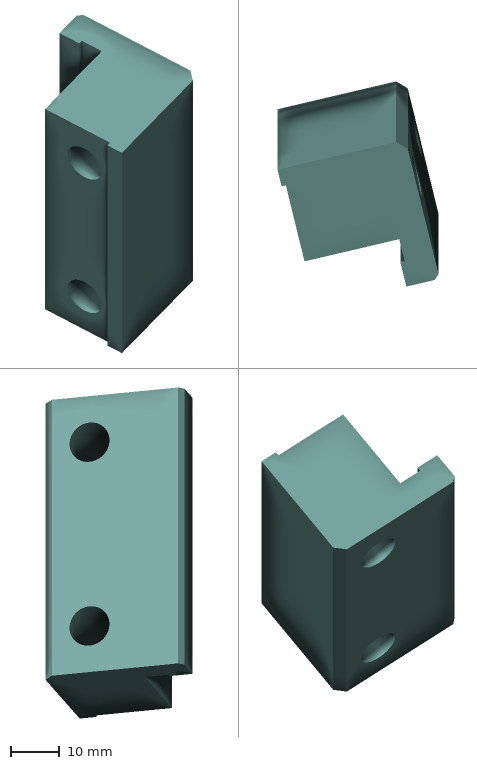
import cadquery as cq

width = 30.0
depth = 27.0
height = 60.0

flange_thickness = 7.0
flange_overhang = 10.0
flange_lip_width = 5.0
front_lip_width = 3.6
lip_height = 0.9

left_chamfer = 1.0
right_chamfer = 2.0

hole_diameter = 8.5
hole_x = 20.0
hole_end_distance = 10.0

flange_front = depth - flange_thickness


def make_body():
    """Extrude the L-shaped profile, with its shallow lips, along Z."""
    profile = [
        (0, flange_front),
        (flange_lip_width, flange_front),
        (flange_lip_width, flange_front + lip_height),
        (flange_overhang, flange_front + lip_height),
        (flange_overhang, lip_height),
        (width - front_lip_width, lip_height),
        (width - front_lip_width, 0),
        (width, 0),
        (width, depth - right_chamfer),
        (width - right_chamfer, depth),
        (left_chamfer, depth),
        (0, depth - left_chamfer),
    ]
    return cq.Workplane("XY").polyline(profile).close().extrude(height)


def make_hole(center_z):
    """Cylinder that passes through the full depth of the block."""
    return (
        cq.Workplane("XZ")
        .center(hole_x, center_z)
        .circle(hole_diameter / 2)
        .extrude(-depth)
    )


result = make_body()
for center_z in (hole_end_distance, height - hole_end_distance):
    result = result.cut(make_hole(center_z))